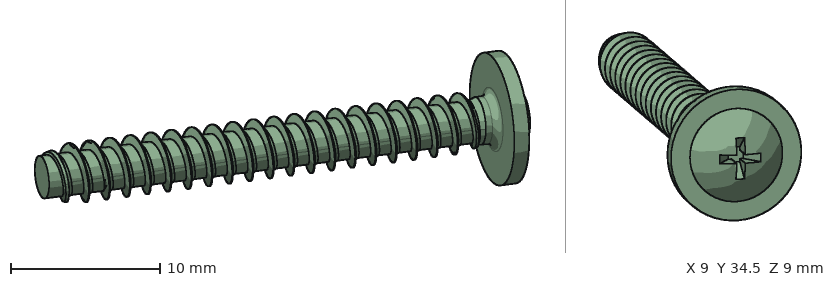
import cadquery as cq
import math

TOTAL_LENGTH = 34.45
SHANK_LENGTH = 32.0
HEAD_HEIGHT = TOTAL_LENGTH - SHANK_LENGTH

FLANGE_RADIUS = 9.0 / 2
FLANGE_THICKNESS = 1.07
DOME_SPHERE_RADIUS = 4.35

RECESS_WIDTH = 0.6
RECESS_REACH = 1.4
RECESS_FLOOR_REACH = 0.5
RECESS_DEPTH = 1.55

NECK_RADIUS = 1.62
NECK_FILLET = 0.55
NECK_LENGTH = 1.0
NECK_TAPER_LENGTH = 0.5
CORE_RADIUS = 1.45

CREST_RADIUS = 4.1 / 2
CREST_WIDTH = 0.07
ROOT_HALF_WIDTH = 0.2
RAMP_HEIGHT = 0.1
RAMP_REACH = 0.45
ROOT_OVERLAP = 0.1
THREAD_START_DEPTH = 31.58
LAST_CREST_DEPTH = 1.72
TURNS_TO_LAST_CREST = 20.5
PITCH = (THREAD_START_DEPTH - LAST_CREST_DEPTH) / TURNS_TO_LAST_CREST
TURNS = TURNS_TO_LAST_CREST + 1
RUNOUT_LENGTH = 1.25
LEAD_IN_LENGTH = 2.17
LEAD_IN_RADIUS = 1.48

CLEARANCE = 0.07


def dome_sag(radius):
    """Drop of the dome sphere below its apex at a given distance from the axis."""
    return DOME_SPHERE_RADIUS - math.sqrt(DOME_SPHERE_RADIUS**2 - radius**2)


DOME_APEX = HEAD_HEIGHT + dome_sag(RECESS_WIDTH / math.sqrt(2))


def revolve_about_y(outline):
    return outline.close().revolve(360, (0, 0), (0, 1))


def make_head_and_neck():
    """Domed washer head, filleted neck and the short taper from the neck to the core."""
    dome_height = DOME_APEX - FLANGE_THICKNESS
    dome_radius = math.sqrt(DOME_SPHERE_RADIUS**2 - (DOME_SPHERE_RADIUS - dome_height)**2)
    mid_radius = dome_radius / 2
    fillet_offset = NECK_FILLET * (1 - math.sqrt(0.5))
    return revolve_about_y(
        cq.Workplane("XY")
        .moveTo(0, DOME_APEX)
        .threePointArc((mid_radius, DOME_APEX - dome_sag(mid_radius)), (dome_radius, FLANGE_THICKNESS))
        .lineTo(FLANGE_RADIUS, FLANGE_THICKNESS)
        .lineTo(FLANGE_RADIUS, 0)
        .lineTo(NECK_RADIUS + NECK_FILLET, 0)
        .threePointArc((NECK_RADIUS + fillet_offset, -fillet_offset), (NECK_RADIUS, -NECK_FILLET))
        .lineTo(NECK_RADIUS, -NECK_LENGTH)
        .lineTo(CORE_RADIUS, -NECK_LENGTH - NECK_TAPER_LENGTH)
        .lineTo(0, -NECK_LENGTH - NECK_TAPER_LENGTH)
    )


def make_recess():
    """Two crossed blades that narrow towards the recess floor."""
    rim_height = DOME_APEX - dome_sag(RECESS_REACH)
    floor_height = HEAD_HEIGHT - RECESS_DEPTH
    blade = (
        cq.Workplane("XY")
        .polyline([
            (-RECESS_FLOOR_REACH, floor_height),
            (RECESS_FLOOR_REACH, floor_height),
            (RECESS_REACH, rim_height),
            (RECESS_REACH, DOME_APEX + CLEARANCE),
            (-RECESS_REACH, DOME_APEX + CLEARANCE),
            (-RECESS_REACH, rim_height),
        ])
        .close()
        .extrude(RECESS_WIDTH / 2, both=True)
    )
    return blade.union(blade.rotate((0, 0, 0), (0, 1, 0), 90))


def make_ridge():
    """Ridge of constant section on a helix about Y, sunk into the core, starting on the -X side."""
    inner_radius = CORE_RADIUS - ROOT_OVERLAP
    ramp_slope = (RAMP_REACH - ROOT_HALF_WIDTH) / RAMP_HEIGHT
    ramp_end = RAMP_REACH + ramp_slope * ROOT_OVERLAP
    helix = cq.Wire.makeHelix(PITCH, TURNS * PITCH, inner_radius)
    return (
        cq.Workplane("XZ")
        .polyline([
            (inner_radius, -ROOT_HALF_WIDTH),
            (CREST_RADIUS, -CREST_WIDTH / 2),
            (CREST_RADIUS, CREST_WIDTH / 2),
            (CORE_RADIUS + RAMP_HEIGHT, ROOT_HALF_WIDTH),
            (inner_radius, ramp_end),
        ])
        .close()
        .sweep(cq.Workplane(obj=helix), isFrenet=True)
        .rotate((0, 0, 0), (0, 0, 1), 180)
        .rotate((0, 0, 0), (1, 0, 0), -90)
        .translate((0, -THREAD_START_DEPTH, 0))
    )


def make_shank_envelope():
    """Turned outer limit of the shank, with a cone at each end that fades the ridge out."""
    outer_radius = CREST_RADIUS + CLEARANCE
    runout_slope = RUNOUT_LENGTH / (CREST_RADIUS - NECK_RADIUS)
    lead_in_slope = LEAD_IN_LENGTH / (CREST_RADIUS - LEAD_IN_RADIUS)
    return revolve_about_y(
        cq.Workplane("XY").polyline([
            (0, -NECK_LENGTH),
            (NECK_RADIUS, -NECK_LENGTH),
            (outer_radius, -NECK_LENGTH - runout_slope * (outer_radius - NECK_RADIUS)),
            (outer_radius, -SHANK_LENGTH + lead_in_slope * (outer_radius - LEAD_IN_RADIUS)),
            (LEAD_IN_RADIUS, -SHANK_LENGTH),
            (0, -SHANK_LENGTH),
        ])
    )


def make_threaded_shank():
    """Core and ridge, trimmed to the shank envelope."""
    core = cq.Workplane("XZ").circle(CORE_RADIUS).extrude(SHANK_LENGTH + CLEARANCE)
    threaded = core.union(make_ridge(), clean=False)
    return threaded.intersect(make_shank_envelope(), clean=False)


head = make_head_and_neck().cut(make_recess())
result = head.union(make_threaded_shank(), clean=False).solids()